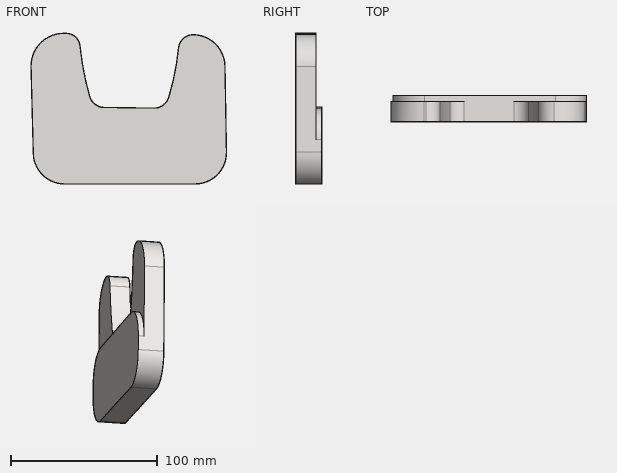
import cadquery as cq

front_thickness = 14.0
total_thickness = 18.0

bottom_left = (2.1, 0.0)
bottom_right = (133.8, 0.0)
left_arm_outer = (-0.5, 102.8)
left_arm_inner = (33.0, 102.8)
right_arm_inner = (101.2, 101.9)
right_arm_outer = (132.0, 101.9)
slot_floor_left = (42.4, 52.4)
slot_floor_right = (91.5, 51.7)

left_wall_middle = (36.0, 77.3)
right_wall_middle = (98.3, 77.0)

left_arm_radius = 22.4
right_arm_radius = 22.0
back_radius = 21.5
bottom_radius = 21.5
slot_radius = 10.3
left_tip_radius = 9.7


def point_on_line(start, end, fraction):
    """Point at the given fraction of the way from start to end."""
    return tuple(a + fraction * (b - a) for a, b in zip(start, end))


def crossing(a, b, c, d):
    """Point where the line through a and b meets the line through c and d."""
    ux, uz = b[0] - a[0], b[1] - a[1]
    vx, vz = d[0] - c[0], d[1] - c[1]
    fraction = ((c[0] - a[0]) * vz - (c[1] - a[1]) * vx) / (ux * vz - uz * vx)
    return point_on_line(a, b, fraction)


def round_corner(body, corner, radius):
    """Round the Y-parallel edge that passes through the corner (x, z)."""
    x, z = corner
    edge = cq.selectors.NearestToPointSelector((x, body.val().BoundingBox().center.y, z))
    return body.edges("|Y").edges(edge).fillet(radius)


def make_front_plate():
    """U-shaped plate whose two arms stand beside an open slot."""
    plate = (
        cq.Workplane("XZ")
        .moveTo(*bottom_left)
        .lineTo(*bottom_right)
        .lineTo(*right_arm_outer)
        .lineTo(*right_arm_inner)
        .threePointArc(right_wall_middle, slot_floor_right)
        .lineTo(*slot_floor_left)
        .threePointArc(left_wall_middle, left_arm_inner)
        .lineTo(*left_arm_outer)
        .close()
        .extrude(-front_thickness)
    )
    for corner in (bottom_left, bottom_right):
        plate = round_corner(plate, corner, bottom_radius)
    plate = round_corner(plate, left_arm_outer, left_arm_radius)
    plate = round_corner(plate, right_arm_outer, right_arm_radius)
    plate = round_corner(plate, left_arm_inner, left_tip_radius)
    for corner in (right_arm_inner, slot_floor_left, slot_floor_right):
        plate = round_corner(plate, corner, slot_radius)
    return plate


def make_back_plate():
    """Low rounded plate behind the U, its top in line with the slot floor."""
    top_left = crossing(bottom_left, left_arm_outer, slot_floor_left, slot_floor_right)
    top_right = crossing(bottom_right, right_arm_outer, slot_floor_left, slot_floor_right)
    plate = (
        cq.Workplane("XZ", origin=(0, front_thickness, 0))
        .polyline([bottom_left, bottom_right, top_right, top_left])
        .close()
        .extrude(front_thickness - total_thickness)
    )
    for corner in (bottom_left, bottom_right):
        plate = round_corner(plate, corner, bottom_radius)
    for corner in (top_left, top_right):
        plate = round_corner(plate, corner, back_radius)
    return plate


result = make_front_plate().union(make_back_plate())